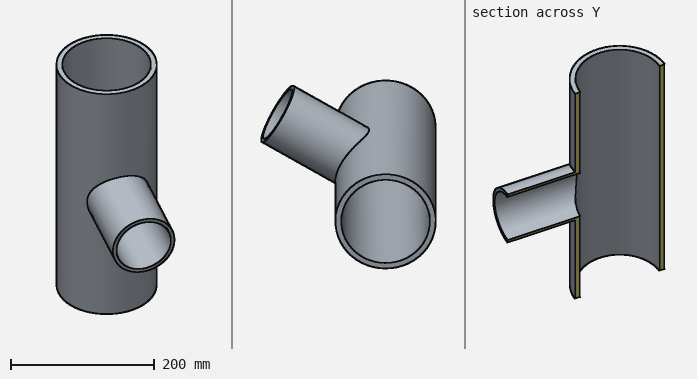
import cadquery as cq

main_outer_diameter = 140.0
main_wall = 8.3
main_length = 380.0
main_inner_diameter = main_outer_diameter - 2 * main_wall

branch_outer_diameter = 90.0
branch_wall = 5.4
branch_reach = 175.0
branch_inner_diameter = branch_outer_diameter - 2 * branch_wall


def main_cylinder(diameter):
    """Upright cylinder over the full pipe length, centred on the origin."""
    return cq.Workplane("XY").circle(diameter / 2).extrude(main_length / 2, both=True)


def branch_cylinder(diameter):
    """Cylinder from the main axis out to the branch's open end."""
    return cq.Workplane("YZ").circle(diameter / 2).extrude(branch_reach)


outer_body = main_cylinder(main_outer_diameter).union(branch_cylinder(branch_outer_diameter))

result = outer_body.cut(main_cylinder(main_inner_diameter)).cut(branch_cylinder(branch_inner_diameter))